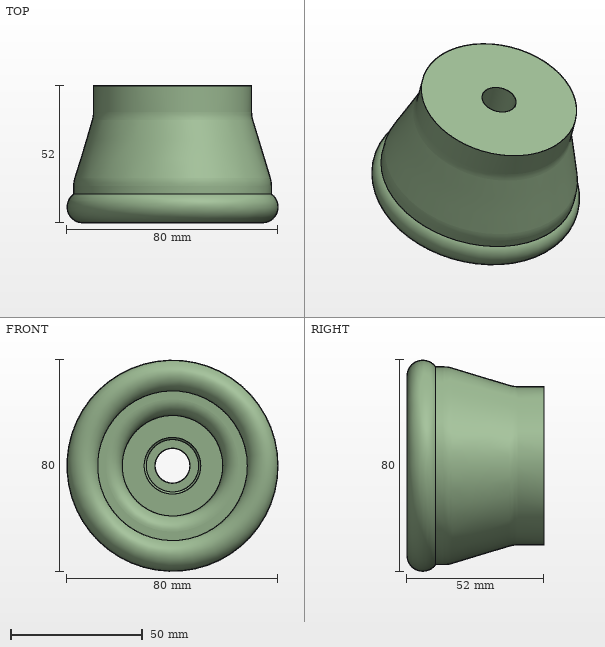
import cadquery as cq
import math

length = 52.0
rim_tube_radius = 6.0
rim_outer_radius = 40.0
collar_radius = 37.5
neck_radius = 30.0
neck_length = 10.1
blend_radius = 10.4
taper_length = 24.9

ledge_depth = 4.0
ledge_inner_radius = 25.0
lip_radius = 6.0
recess_radius = ledge_inner_radius - lip_radius
recess_depth = 18.0

step_mouth_radius = 10.7
step_floor_radius = 9.9
step_depth = 0.8
bore_radius = 6.55

rim_center_radius = rim_outer_radius - rim_tube_radius
ledge_edge_radius = rim_center_radius - math.sqrt(rim_tube_radius**2 - (rim_tube_radius - ledge_depth) ** 2)
rim_back_depth = rim_tube_radius + math.sqrt(rim_tube_radius**2 - (collar_radius - rim_center_radius) ** 2)

taper_angle = math.atan2(collar_radius - neck_radius, taper_length)
blend_setback = blend_radius * math.tan(taper_angle / 2)
taper_back = length - neck_length - blend_setback
taper_front = taper_back - taper_length


def revolved(profile):
    return profile.close().revolve(360, (0, 0, 0), (0, 1, 0))


def blend_points(corner_radius, corner_depth, turn):
    """Start, middle and end of the arc rounding a taper corner, from the cylinder to the taper.

    turn is +1 for the hollow neck blend and -1 for the domed collar blend.
    """
    sine, cosine = math.sin(taper_angle), math.cos(taper_angle)
    cylinder_end = (corner_radius, corner_depth + turn * blend_setback)
    taper_end = (
        corner_radius + turn * blend_setback * sine,
        corner_depth - turn * blend_setback * cosine,
    )
    half = taper_angle / 2
    middle = (
        corner_radius + turn * blend_radius * (1 - math.cos(half)),
        cylinder_end[1] - turn * blend_radius * math.sin(half),
    )
    return cylinder_end, middle, taper_end


def make_body():
    neck_start, neck_middle, neck_end = blend_points(neck_radius, taper_back, 1)
    collar_end, collar_middle, collar_start = blend_points(collar_radius, taper_front, -1)
    return revolved(
        cq.Workplane("XY")
        .moveTo(0, ledge_depth)
        .lineTo(ledge_edge_radius, ledge_depth)
        .threePointArc((rim_outer_radius, rim_tube_radius), (collar_radius, rim_back_depth))
        .lineTo(*collar_end)
        .threePointArc(collar_middle, collar_start)
        .lineTo(*neck_end)
        .threePointArc(neck_middle, neck_start)
        .lineTo(neck_radius, length)
        .lineTo(0, length)
    )


def make_recess():
    lip_end = ledge_depth + lip_radius
    lip_diagonal = lip_radius * math.sqrt(0.5)
    step_floor = recess_depth + step_depth
    return revolved(
        cq.Workplane("XY")
        .moveTo(0, ledge_depth)
        .lineTo(ledge_inner_radius, ledge_depth)
        .threePointArc(
            (ledge_inner_radius - lip_diagonal, lip_end - lip_diagonal),
            (recess_radius, lip_end),
        )
        .lineTo(recess_radius, recess_depth)
        .lineTo(step_mouth_radius, recess_depth)
        .lineTo(step_floor_radius, step_floor)
        .lineTo(bore_radius, step_floor)
        .lineTo(bore_radius, length)
        .lineTo(0, length)
    )


result = make_body().cut(make_recess()).translate((0, -length / 2, 0))